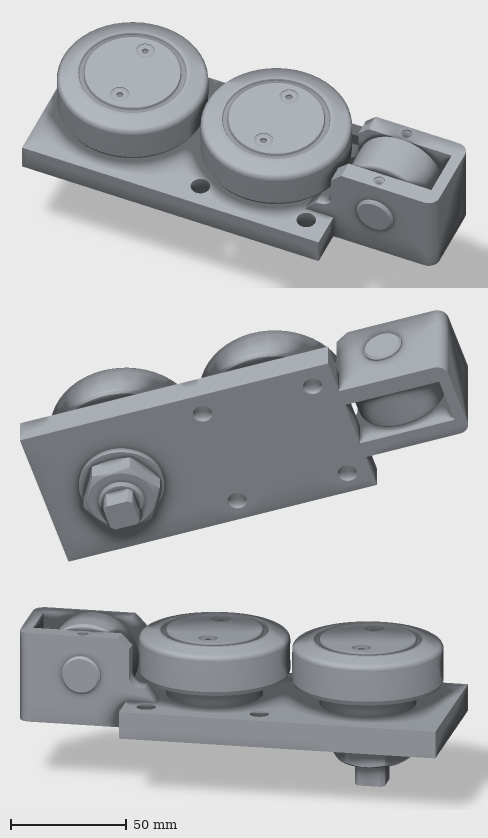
import cadquery as cq
import math

QUARTER_MID = math.sqrt(0.5)

plate_length = 140.0
plate_width = 70.0
plate_thickness = 12.0

roller_1_x = 37.0
roller_pitch = 67.9
roller_2_x = roller_1_x + roller_pitch
roller_diameter = 66.0
roller_crown = 0.2
roller_bottom_z = 20.9
roller_bottom_chamfer = 1.1
roller_bottom_chamfer_height = 2.0
roller_side_top_z = 36.3
shoulder_diameter = 61.5
shoulder_z = 39.3
rim_outer_diameter = 50.0
rim_inner_diameter = 47.0
rim_z = 41.0
cap_diameter = 41.5
cap_top_z = 41.4
seal_groove_floor_z = 40.2
seal_groove_taper = 0.4
hub_diameter = 42.0
hub_collar_diameter = 42.1
hub_collar_height = 0.4

screw_offset_y = 14.0
screw_recess_diameter = 8.3
screw_recess_depth = 0.4
screw_socket_diameter = 3.0
screw_socket_depth = 1.0

mounting_hole_diameter = 8.5
mounting_hole_pitch = 50.0

adjuster_eccentricity = 1.9
adjuster_x = roller_1_x - adjuster_eccentricity
washer_diameter = 37.0
washer_thickness = 2.8
nut_across_flats = 30.0
nut_height = 10.0
nut_face_diameter = 29.0
nut_chamfer_angle = 30.0
stud_diameter = 20.0
stud_height = 1.9
stud_chamfer = 1.0
square_width = 13.2
square_corner_diameter = 16.4
square_end_z = -23.7

bracket_end_x = 188.0
bracket_width = 38.0
bracket_top_z = 40.2
bracket_corner_radius = 5.0
bracket_end_wall = 5.0
slot_width = 22.0
foot_tip_x = 126.9
foot_height = 6.2
foot_top_start_x = 132.0
arm_front_x = 139.0
arm_chamfer = 4.9
hollow_radius = 5.0

pin_x = 160.0
fork_roller_top_z = 42.9
pin_diameter = 17.1
pin_length = 41.5
pin_chamfer = 1.0
fork_roller_diameter = 40.0
fork_roller_width = 20.0
pin_z = fork_roller_top_z - fork_roller_diameter / 2
fork_roller_crown = 0.2
fork_roller_edge = 1.5

set_screw_diameter = 4.9
set_screw_recess = 0.5
set_screw_cone_diameter = 4.0
set_screw_cone_depth = 1.1


def cylinder(diameter, bottom_z, top_z, x=0.0, y=0.0):
    return cq.Workplane("XY", origin=(x, y, bottom_z)).circle(diameter / 2).extrude(top_z - bottom_z)


def make_plate():
    plate = cq.Workplane("XY").box(plate_length, plate_width, plate_thickness, centered=(False, True, False))
    holes = (
        cq.Workplane("XY", origin=(roller_2_x, 0, 0))
        .rect(mounting_hole_pitch, mounting_hole_pitch, forConstruction=True)
        .vertices()
        .circle(mounting_hole_diameter / 2)
        .extrude(plate_thickness)
    )
    return plate.cut(holes)


def make_support_roller(x):
    radius = roller_diameter / 2
    side_bottom_z = roller_bottom_z + roller_bottom_chamfer_height
    side_middle_z = (side_bottom_z + roller_side_top_z) / 2
    edge_radius = radius - roller_crown
    shoulder_radius = shoulder_diameter / 2
    edge_mid_radius = shoulder_radius + QUARTER_MID * (edge_radius - shoulder_radius)
    edge_mid_z = roller_side_top_z + QUARTER_MID * (shoulder_z - roller_side_top_z)
    roller = (
        cq.Workplane("XZ")
        .moveTo(0, plate_thickness)
        .lineTo(hub_collar_diameter / 2, plate_thickness)
        .lineTo(hub_collar_diameter / 2, plate_thickness + hub_collar_height)
        .lineTo(hub_diameter / 2, plate_thickness + hub_collar_height)
        .lineTo(hub_diameter / 2, roller_bottom_z - hub_collar_height)
        .lineTo(hub_collar_diameter / 2, roller_bottom_z - hub_collar_height)
        .lineTo(hub_collar_diameter / 2, roller_bottom_z)
        .lineTo(edge_radius - roller_bottom_chamfer, roller_bottom_z)
        .lineTo(edge_radius, side_bottom_z)
        .threePointArc((radius, side_middle_z), (edge_radius, roller_side_top_z))
        .threePointArc((edge_mid_radius, edge_mid_z), (shoulder_radius, shoulder_z))
        .lineTo(rim_outer_diameter / 2, rim_z)
        .lineTo(rim_inner_diameter / 2, rim_z)
        .lineTo(rim_inner_diameter / 2 - seal_groove_taper, seal_groove_floor_z)
        .lineTo(cap_diameter / 2 + seal_groove_taper, seal_groove_floor_z)
        .lineTo(cap_diameter / 2, cap_top_z)
        .lineTo(0, cap_top_z)
        .close()
        .revolve(360, (0, 0, 0), (0, 1, 0))
        .translate((x, 0, 0))
    )
    for y in (-screw_offset_y, screw_offset_y):
        head_z = cap_top_z - screw_recess_depth
        recess = cylinder(screw_recess_diameter, head_z, cap_top_z, x, y)
        socket = cylinder(screw_socket_diameter, head_z - screw_socket_depth, head_z, x, y)
        roller = roller.cut(recess).cut(socket)
    return roller


def make_nut(top_z):
    corner_diameter = nut_across_flats / math.cos(math.pi / 6)
    bottom_z = top_z - nut_height
    chamfer_drop = (corner_diameter - nut_face_diameter) / 2 * math.tan(math.radians(nut_chamfer_angle))
    hexagon = (
        cq.Workplane("XY", origin=(adjuster_x, 0, bottom_z)).polygon(6, corner_diameter).extrude(nut_height)
    )
    blank = (
        cq.Workplane("XZ")
        .moveTo(0, bottom_z)
        .lineTo(nut_face_diameter / 2, bottom_z)
        .lineTo(corner_diameter / 2, bottom_z + chamfer_drop)
        .lineTo(corner_diameter / 2, top_z - chamfer_drop)
        .lineTo(nut_face_diameter / 2, top_z)
        .lineTo(0, top_z)
        .close()
        .revolve(360, (0, 0, 0), (0, 1, 0))
        .translate((adjuster_x, 0, 0))
    )
    return hexagon.intersect(blank)


def make_adjuster():
    nut_top_z = -washer_thickness
    stud_top_z = nut_top_z - nut_height
    stud_bottom_z = stud_top_z - stud_height
    washer = cylinder(washer_diameter, nut_top_z, 0, adjuster_x)
    stud = cylinder(stud_diameter, stud_bottom_z, stud_top_z, adjuster_x).faces("<Z").chamfer(stud_chamfer)
    square = (
        cq.Workplane("XY", origin=(adjuster_x, 0, square_end_z))
        .rect(square_width, square_width)
        .extrude(stud_bottom_z - square_end_z)
        .intersect(cylinder(square_corner_diameter, square_end_z, stud_bottom_z, adjuster_x))
    )
    return washer.union(make_nut(nut_top_z)).union(stud).union(square)


def make_bracket():
    foot_top_z = plate_thickness + foot_height
    hollow_start_x = arm_front_x - hollow_radius
    hollow_mid = hollow_radius * QUARTER_MID
    body = (
        cq.Workplane("XZ", origin=(0, bracket_width / 2, 0))
        .moveTo(plate_length, 0)
        .lineTo(bracket_end_x, 0)
        .lineTo(bracket_end_x, bracket_top_z)
        .lineTo(arm_front_x + arm_chamfer, bracket_top_z)
        .lineTo(arm_front_x, bracket_top_z - arm_chamfer)
        .lineTo(arm_front_x, foot_top_z + hollow_radius)
        .threePointArc(
            (hollow_start_x + hollow_mid, foot_top_z + hollow_radius - hollow_mid),
            (hollow_start_x, foot_top_z),
        )
        .lineTo(foot_top_start_x, foot_top_z)
        .lineTo(foot_tip_x, plate_thickness)
        .lineTo(plate_length, plate_thickness)
        .close()
        .extrude(bracket_width)
        .edges("|Z and >X")
        .fillet(bracket_corner_radius)
    )
    slot_length = bracket_end_x - bracket_end_wall - foot_tip_x
    slot = cq.Workplane("XY", origin=(foot_tip_x, 0, 0)).box(
        slot_length, slot_width, bracket_top_z, centered=(False, True, False)
    )
    body = body.cut(slot)

    pin_hole = (
        cq.Workplane("XZ", origin=(pin_x, bracket_width / 2, pin_z))
        .circle(pin_diameter / 2)
        .extrude(bracket_width)
    )
    body = body.cut(pin_hole)

    set_screw_y = (bracket_width + slot_width) / 4
    for y in (-set_screw_y, set_screw_y):
        recess_floor_z = bracket_top_z - set_screw_recess
        recess = cylinder(set_screw_diameter, recess_floor_z, bracket_top_z, pin_x, y)
        cone = cq.Workplane(
            cq.Solid.makeCone(
                0,
                set_screw_cone_diameter / 2,
                set_screw_cone_depth,
                cq.Vector(pin_x, y, recess_floor_z - set_screw_cone_depth),
            )
        )
        body = body.cut(recess).cut(cone)
    return body


def make_carriage():
    carriage = make_plate().union(make_bracket()).union(make_adjuster())
    for x in (roller_1_x, roller_2_x):
        carriage = carriage.union(make_support_roller(x))
    return carriage


def make_fork_roller():
    pin = (
        cq.Workplane("XZ", origin=(pin_x, pin_length / 2, pin_z))
        .circle(pin_diameter / 2)
        .extrude(pin_length)
        .faces("<Y or >Y")
        .chamfer(pin_chamfer)
    )
    half_width = fork_roller_width / 2
    side_radius = fork_roller_diameter / 2 - fork_roller_crown
    edge_end_y = half_width - fork_roller_edge
    face_radius = side_radius - fork_roller_edge
    edge_mid_radius = face_radius + QUARTER_MID * fork_roller_edge
    edge_mid_y = edge_end_y + QUARTER_MID * fork_roller_edge
    wheel = (
        cq.Workplane("XY", origin=(pin_x, 0, pin_z))
        .moveTo(0, -half_width)
        .lineTo(face_radius, -half_width)
        .threePointArc((edge_mid_radius, -edge_mid_y), (side_radius, -edge_end_y))
        .threePointArc((side_radius + fork_roller_crown, 0), (side_radius, edge_end_y))
        .threePointArc((edge_mid_radius, edge_mid_y), (face_radius, half_width))
        .lineTo(0, half_width)
        .close()
        .revolve(360, (0, 0, 0), (0, 1, 0))
    )
    return wheel.union(pin)


carriage = make_carriage()
fork_roller = make_fork_roller()

result = cq.Compound.makeCompound([carriage.solids().val(), fork_roller.solids().val()])